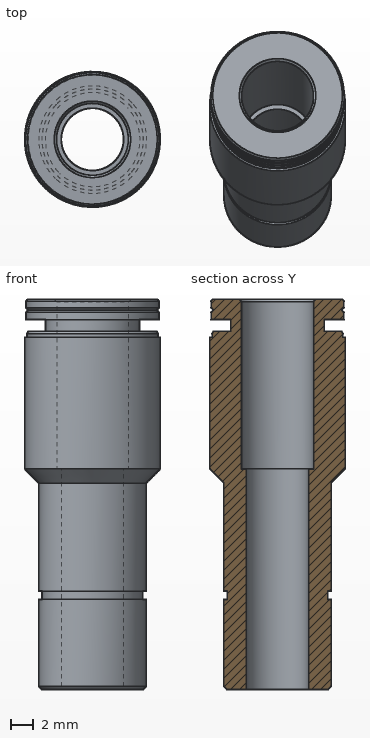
import cadquery as cq

height = 34.5
body_diameter = 12.0
stem_diameter = 9.52
stem_groove_diameter = 8.95
release_ring_diameter = 11.8
neck_diameter = 8.35
collar_diameter = 11.6

stem_chamfer = 0.28
stem_groove_bottom = 7.97
stem_groove_width = 0.72

shoulder_bottom = 18.25
shoulder_top = shoulder_bottom + (body_diameter - stem_diameter) / 2
body_top = 31.15
collar_height = 0.52
collar_chamfer_height = 0.2
collar_chamfer_width = 0.1
collar_top = body_top + collar_height

ring_thickness = 1.8
ring_chamfer = 0.17
ring_bottom = height - ring_thickness
v_groove_center = height - 0.95
v_groove_depth = 0.2

passage_diameter = 5.5
socket_diameter = 6.35
entry_diameter = 6.75
entry_chamfer = (entry_diameter - socket_diameter) / 2
socket_floor = shoulder_top


def revolve_profile(points):
    """Revolve a closed (radius, z) outline about the Z axis."""
    return cq.Workplane("XZ").polyline(points).close().revolve(360, (0, 0, 0), (0, 1, 0))


def make_stem_and_body():
    stem_radius = stem_diameter / 2
    body_radius = body_diameter / 2
    collar_radius = collar_diameter / 2
    groove_radius = stem_groove_diameter / 2
    groove_top = stem_groove_bottom + stem_groove_width
    return revolve_profile([
        (0, 0),
        (stem_radius - stem_chamfer, 0),
        (stem_radius, stem_chamfer),
        (stem_radius, stem_groove_bottom),
        (groove_radius, stem_groove_bottom),
        (groove_radius, groove_top),
        (stem_radius, groove_top),
        (stem_radius, shoulder_bottom),
        (body_radius, shoulder_top),
        (body_radius, body_top),
        (collar_radius, body_top),
        (collar_radius, collar_top - collar_chamfer_height),
        (collar_radius - collar_chamfer_width, collar_top),
        (0, collar_top),
    ])


def make_release_ring():
    ring_radius = release_ring_diameter / 2
    neck_radius = neck_diameter / 2
    return revolve_profile([
        (0, collar_top),
        (neck_radius, collar_top),
        (neck_radius, ring_bottom),
        (ring_radius, ring_bottom),
        (ring_radius, v_groove_center - v_groove_depth),
        (ring_radius - v_groove_depth, v_groove_center),
        (ring_radius, v_groove_center + v_groove_depth),
        (ring_radius, height - ring_chamfer),
        (ring_radius - ring_chamfer, height),
        (0, height),
    ])


def make_bore():
    return revolve_profile([
        (0, 0),
        (passage_diameter / 2, 0),
        (passage_diameter / 2, socket_floor),
        (socket_diameter / 2, socket_floor),
        (socket_diameter / 2, height - entry_chamfer),
        (entry_diameter / 2, height),
        (0, height),
    ])


result = make_stem_and_body().union(make_release_ring()).cut(make_bore())